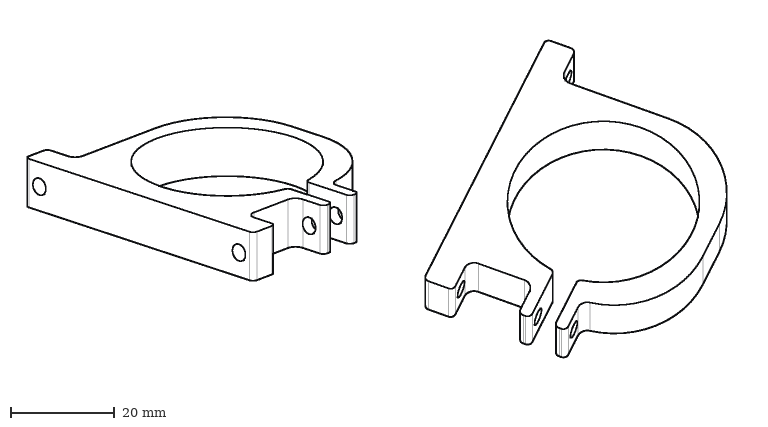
import cadquery as cq
import math

base_length = 60.0
base_depth = 6.25
thickness = 10.0
height = 47.35

body_width = 45.0
bore_radius = 18.5
shoulder_radius = 18.5
bore_y = height - body_width / 2

slit_width = 5.0
lug_depth = 2.5

inner_fillet = 2.0
corner_fillet = 1.0
hole_diameter = 3.4
hole_offset = 26.2

half_length = base_length / 2
half_body = body_width / 2
slit_bottom = bore_y - slit_width / 2
slit_top = bore_y + slit_width / 2
lug_bottom = slit_bottom - lug_depth
lug_top = slit_top + lug_depth


def block(x_min, x_max, y_min, y_max):
    """Full-thickness rectangular block."""
    size = (x_max - x_min, y_max - y_min, thickness)
    return cq.Workplane("XY").box(*size, centered=False).translate((x_min, y_min, 0))


def round_corners(part, points, radius):
    """Round the vertical edges standing on the given XY points."""
    for x, y in points:
        edge = cq.selectors.NearestToPointSelector((x, y, thickness / 2))
        part = part.edges("|Z").edges(edge).fillet(radius)
    return part


def make_blank():
    """Foot, shouldered body and a lug block, still without bore and slit."""
    shoulders = [(-half_body, height), (half_body, height)]
    body = round_corners(block(-half_body, half_body, 0, height), shoulders, shoulder_radius)
    foot = block(-half_length, half_length, 0, base_depth)
    lugs = block(0, half_length, lug_bottom, lug_top)
    return body.union(foot).union(lugs)


def cut_bore_and_slit(part):
    """Open the bore and split the clamp from the bore out to +X."""
    bore = cq.Workplane("XY").center(0, bore_y).circle(bore_radius).extrude(thickness)
    return part.cut(bore).cut(block(0, half_length, slit_bottom, slit_top))


def round_profile(part):
    """Round the inside corners, the foot and lug ends and the bore mouth."""
    arc_rise = lug_top - (height - shoulder_radius)
    arc_x = half_body - shoulder_radius + math.sqrt(shoulder_radius**2 - arc_rise**2)
    inner_corners = [
        (-half_body, base_depth),
        (half_body, base_depth),
        (half_body, lug_bottom),
        (arc_x, lug_top),
    ]
    foot_corners = [(x, y) for x in (-half_length, half_length) for y in (0, base_depth)]
    lug_corners = [(half_length, y) for y in (lug_bottom, slit_bottom, slit_top, lug_top)]
    mouth_x = math.sqrt(bore_radius**2 - (slit_width / 2) ** 2)
    mouth_corners = [(mouth_x, slit_bottom), (mouth_x, slit_top)]
    part = round_corners(part, inner_corners, inner_fillet)
    return round_corners(part, foot_corners + lug_corners + mouth_corners, corner_fillet)


def drill_holes(part):
    """Drill both screw holes along Y; the +X one also passes through the lugs."""
    for x in (-hole_offset, hole_offset):
        drill = cq.Workplane("XZ").center(x, thickness / 2).circle(hole_diameter / 2).extrude(-height)
        part = part.cut(drill)
    return part


result = drill_holes(round_profile(cut_bore_and_slit(make_blank())))